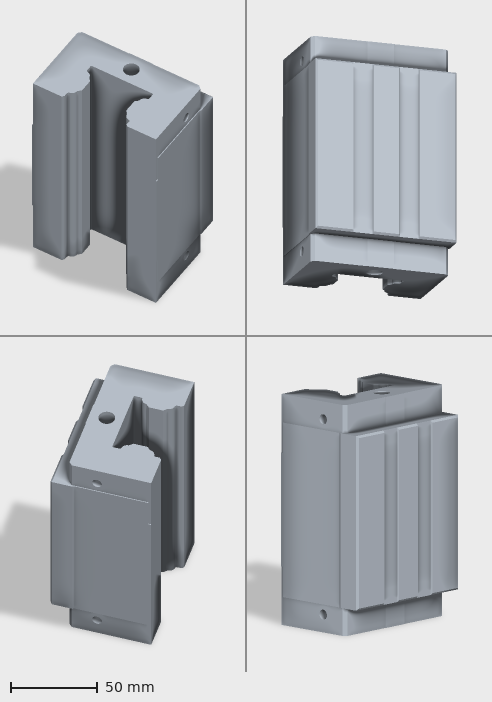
import cadquery as cq


total_length = 135.5
block_length = 102.5
cap_length = (total_length - block_length) / 2

block_width = 86.0
block_height = 60.7
block_skirt_width = 84.8
side_step_top = 47.2
side_step_bottom = 46.1
block_chamfer = 1.2

groove_inner_x = 7.9
groove_outer_x = 20.3
groove_depth = block_chamfer
groove_flank_run = 0.5

cap_width = 83.7
cap_height = 49.9
cap_chamfer = 2.0
tab_width = 16.0
tab_height = 0.3

relief_height = 1.5
relief_length = 17.9

mouth_chamfer = 1.2
channel_half_width = 21.1
channel_roof = 30.0
roof_corner_chamfer = 0.4
ridge_y = 14.8
ridge_half_height = 9.9
ridge_root_chamfer = 0.7
ridge_shoulder_bulge = 1.0
ridge_bevel = 2.0
ridge_tip_half_height = 4.3
ridge_tip_x = 15.0

end_hole_diameter = 9.6
end_hole_y = 39.7
end_hole_depth = cap_length
side_hole_diameter = 5.8
side_hole_y = 32.7
side_hole_z = 57.3
side_hole_depth = 6.8


def extrude_mid(sketch, length):
    """Extrude an XY outline to the given length, centred on Z = 0."""
    return sketch.extrude(length / 2, both=True)


def standing_box(x_size, y_size, z_size):
    """Box centred in X and Z, standing on Y = 0."""
    return cq.Workplane("XY").box(x_size, y_size, z_size, centered=(True, False, True))


def make_block():
    half_top = block_width / 2
    half_skirt = block_skirt_width / 2
    outline = cq.Workplane("XY").polyline([
        (-half_skirt, 0),
        (half_skirt, 0),
        (half_skirt, side_step_bottom),
        (half_top, side_step_top),
        (half_top, block_height),
        (-half_top, block_height),
        (-half_top, side_step_top),
        (-half_skirt, side_step_bottom),
    ]).close()
    block = extrude_mid(outline, block_length).faces(">Y").edges().chamfer(block_chamfer)

    floor = block_height - groove_depth
    for side in (-1, 1):
        groove = cq.Workplane("XY").polyline([
            (side * groove_inner_x, block_height),
            (side * (groove_inner_x + groove_flank_run), floor),
            (side * (groove_outer_x - groove_flank_run), floor),
            (side * groove_outer_x, block_height),
        ]).close()
        block = block.cut(extrude_mid(groove, block_length))

    for side in (-1, 1):
        for end in (-1, 1):
            relief = cq.Workplane("XY").box(block_width - cap_width, 2 * relief_height, 2 * relief_length)
            corner = (side * block_width / 2, 0, end * block_length / 2)
            block = block.cut(relief.translate(corner))
    return block


def make_cap_bar():
    """Full-length bar whose two ends stand out of the block as the end caps."""
    bar = standing_box(cap_width, cap_height, total_length)
    bar = bar.faces(">Y").edges("|Z").chamfer(cap_chamfer)
    tab = standing_box(tab_width, cap_height + tab_height, total_length)
    return bar.union(tab)


def make_channel():
    """Solid of the rail channel, with a bearing ridge left standing on each wall."""
    mouth_x = channel_half_width + mouth_chamfer
    root_x = channel_half_width - ridge_root_chamfer
    root_half_height = ridge_half_height + ridge_root_chamfer
    shoulder_x = ridge_tip_x + ridge_bevel
    shoulder_half_height = ridge_tip_half_height + ridge_bevel
    half = (
        cq.Workplane("XY")
        .moveTo(0, 0)
        .lineTo(mouth_x, 0)
        .lineTo(channel_half_width, mouth_chamfer)
        .lineTo(channel_half_width, ridge_y - root_half_height)
        .lineTo(root_x, ridge_y - ridge_half_height)
        .sagittaArc((shoulder_x, ridge_y - shoulder_half_height), ridge_shoulder_bulge)
        .lineTo(ridge_tip_x, ridge_y - ridge_tip_half_height)
        .lineTo(ridge_tip_x, ridge_y + ridge_tip_half_height)
        .lineTo(shoulder_x, ridge_y + shoulder_half_height)
        .sagittaArc((root_x, ridge_y + ridge_half_height), ridge_shoulder_bulge)
        .lineTo(channel_half_width, ridge_y + root_half_height)
        .lineTo(channel_half_width, channel_roof - roof_corner_chamfer)
        .lineTo(channel_half_width - roof_corner_chamfer, channel_roof)
        .lineTo(0, channel_roof)
        .close()
    )
    half = extrude_mid(half, total_length)
    return half.union(half.mirror("YZ"))


def cut_cap_holes(body):
    for end in (-1, 1):
        end_hole = cq.Solid.makeCylinder(
            end_hole_diameter / 2,
            end_hole_depth,
            cq.Vector(0, end_hole_y, end * total_length / 2),
            cq.Vector(0, 0, -end),
        )
        body = body.cut(cq.Workplane(end_hole))
        for side in (-1, 1):
            side_hole = cq.Solid.makeCylinder(
                side_hole_diameter / 2,
                side_hole_depth,
                cq.Vector(side * cap_width / 2, side_hole_y, end * side_hole_z),
                cq.Vector(-side, 0, 0),
            )
            body = body.cut(cq.Workplane(side_hole))
    return body


carriage = make_block().union(make_cap_bar()).cut(make_channel())
result = cut_cap_holes(carriage)